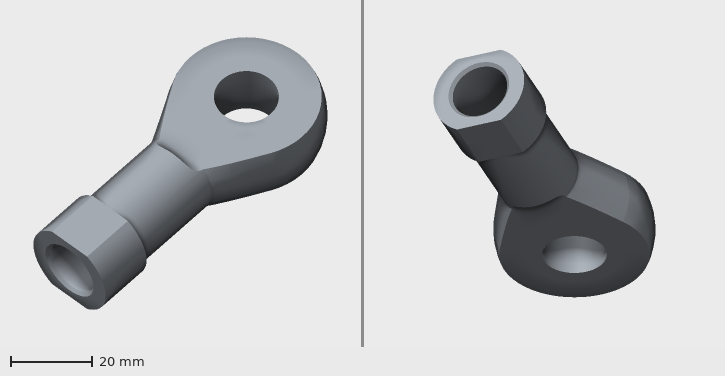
import cadquery as cq
import math


eye_radius = 20.0
eye_thickness = 15.0
eye_hole_diameter = 16.0

shank_diameter = 20.8
shank_start = 24.0
collar_diameter = 24.0
collar_length = 15.0
collar_across_flats = 21.0
overall_length = 85.0

thread_diameter = 16.0
bore_diameter = 14.38
bore_depth = 2 * thread_diameter

blend_radius = 3.0

shank_radius = shank_diameter / 2
collar_radius = collar_diameter / 2
half_thickness = eye_thickness / 2
end_y = eye_radius - overall_length
collar_y = end_y + collar_length


def make_eye_and_shank():
    """Sphere, tangent neck cone and shank, revolved about the rod axis."""
    edge_distance = math.hypot(shank_radius, shank_start)
    edge_angle = math.atan2(-shank_start, shank_radius)
    tangent_angle = edge_angle + math.acos(eye_radius / edge_distance)
    tangent_point = (eye_radius * math.cos(tangent_angle), eye_radius * math.sin(tangent_angle))
    profile = (
        cq.Workplane("XY")
        .moveTo(0, eye_radius)
        .threePointArc((eye_radius, 0), tangent_point)
        .lineTo(shank_radius, -shank_start)
        .lineTo(shank_radius, collar_y)
        .lineTo(0, collar_y)
        .close()
    )
    return profile.revolve(360, (0, 0, 0), (0, 1, 0))


def make_face_cutter():
    """Material above the upper eye face, ending in the concave blend to the shank."""
    blend_height = shank_radius - half_thickness
    blend_run = math.sqrt(blend_radius**2 - (blend_radius - blend_height) ** 2)
    blend_end = (-shank_start - blend_run, shank_radius)
    half_angle = math.atan2(blend_run, blend_radius - blend_height) / 2
    blend_middle = (
        -shank_start - blend_radius * math.sin(half_angle),
        half_thickness + blend_radius * (1 - math.cos(half_angle)),
    )
    return (
        cq.Workplane("YZ")
        .moveTo(eye_radius, half_thickness)
        .lineTo(-shank_start, half_thickness)
        .threePointArc(blend_middle, blend_end)
        .lineTo(blend_end[0], eye_radius)
        .lineTo(eye_radius, eye_radius)
        .close()
        .extrude(eye_radius, both=True)
    )


def make_collar():
    """Round collar with two wrench flats facing +Z and -Z."""
    collar = cq.Workplane("XZ", origin=(0, collar_y, 0)).circle(collar_radius).extrude(collar_length)
    flats = cq.Workplane("XZ", origin=(0, collar_y, 0)).rect(collar_diameter, collar_across_flats)
    return collar.intersect(flats.extrude(collar_length))


def make_bore():
    """Blind bore from the collar end, with a 45 degree lead-in to the thread diameter."""
    bore_radius = bore_diameter / 2
    mouth_radius = thread_diameter / 2
    lead_in = mouth_radius - bore_radius
    profile = (
        cq.Workplane("XY")
        .moveTo(0, end_y)
        .lineTo(mouth_radius, end_y)
        .lineTo(bore_radius, end_y + lead_in)
        .lineTo(bore_radius, end_y + bore_depth)
        .lineTo(0, end_y + bore_depth)
        .close()
    )
    return profile.revolve(360, (0, 0, 0), (0, 1, 0))


def make_eye_hole():
    """Through hole across the eye thickness."""
    return cq.Workplane("XY").circle(eye_hole_diameter / 2).extrude(eye_thickness, both=True)


upper_cutter = make_face_cutter()
lower_cutter = upper_cutter.mirror("XY")

result = (
    make_eye_and_shank()
    .cut(upper_cutter)
    .cut(lower_cutter)
    .union(make_collar())
    .cut(make_bore())
    .cut(make_eye_hole())
)